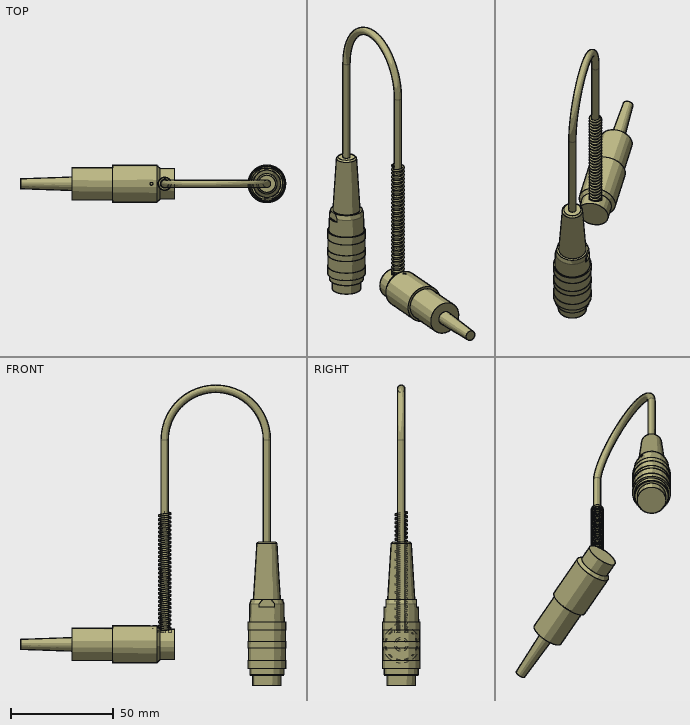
import cadquery as cq

tip_end_x = -70.3
tip_length = 25.0
sleeve_length = 20.0
housing_length = 23.2
cap_length = 7.0
tip_base_x = tip_end_x + tip_length
sleeve_end_x = tip_base_x + sleeve_length
housing_end_x = sleeve_end_x + housing_length
cap_end_x = housing_end_x + cap_length

tip_end_diameter = 5.0
tip_base_diameter = 6.8
sleeve_diameter = 15.9
housing_diameter = 18.2
cap_diameter = 15.0
housing_chamfer = (housing_diameter - cap_diameter) / 2

pilot_diameter = 1.5
pilot_depth = 1.5
pilot_x = -6.5

cable_diameter = 3.7
cable_span = 49.9
bend_radius = cable_span / 2
cable_seat_z = 5.9
bend_z = 99.92

wire_diameter = 1.0
spring_outer_diameter = 6.2
spring_pitch = 2.0
spring_turns = 29.025
spring_end_angle = 90
spring_start_z = cable_seat_z + wire_diameter / 2
spring_mean_radius = (spring_outer_diameter - wire_diameter) / 2
spring_seat_diameter = 6.5

connector_bottom_z = -20.1
step_bottom = 5.0
grip_bottom = 8.2
grip_top = 31.1
shell_edge = 40.0
shell_top = 42.1
band_spans = [(12.2, 18.4), (21.5, 27.2)]

nose_diameter = 14.0
step_diameter = 16.7
grip_diameter = 18.5
band_diameter = 18.2
step_chamfer = 0.3
shell_base_diameter = 17.2
shell_edge_diameter = 16.7
shell_top_diameter = 15.4

flat_spacing = 15.0
flat_bottom = 38.3

boot_length = 28.0
boot_base_diameter = 13.4
boot_top_diameter = 10.0
boot_face_diameter = 8.4
boot_chamfer = (boot_top_diameter - boot_face_diameter) / 2
boot_base_z = connector_bottom_z + shell_top
boot_top_z = boot_base_z + boot_length


def revolve_about_x(points):
    """Revolve (x, radius) points about the X axis."""
    return cq.Workplane("XZ").polyline(points).close().revolve(360, (0, 0, 0), (1, 0, 0))


def revolve_about_z(points):
    """Revolve (radius, z) points about the Z axis."""
    return cq.Workplane("YZ").polyline(points).close().revolve(360, (0, 0, 0), (0, 1, 0))


def vertical_cylinder(diameter, bottom_z, height):
    return cq.Workplane("XY").workplane(offset=bottom_z).circle(diameter / 2).extrude(height)


def make_tip():
    return revolve_about_x([
        (tip_end_x, 0),
        (tip_end_x, tip_end_diameter / 2),
        (tip_base_x, tip_base_diameter / 2),
        (tip_base_x, 0),
    ])


def make_probe():
    sleeve_radius = sleeve_diameter / 2
    housing_radius = housing_diameter / 2
    cap_radius = cap_diameter / 2
    chamfer_start_x = housing_end_x - housing_chamfer
    outline = (
        cq.Workplane("XZ")
        .moveTo(tip_base_x, 0)
        .lineTo(tip_base_x, sleeve_radius)
        .lineTo(sleeve_end_x, sleeve_radius)
        .lineTo(sleeve_end_x, housing_radius)
        .lineTo(chamfer_start_x, housing_radius)
        .lineTo(housing_end_x, cap_radius)
        .lineTo(cap_end_x, cap_radius)
        .lineTo(cap_end_x, 0)
        .close()
    )
    probe = outline.revolve(360, (0, 0, 0), (1, 0, 0))
    spring_seat = vertical_cylinder(spring_seat_diameter, cable_seat_z, housing_diameter)
    pilot_hole = vertical_cylinder(pilot_diameter, housing_radius - pilot_depth, housing_diameter)
    return probe.cut(spring_seat).cut(pilot_hole.translate((pilot_x, 0, 0)))


def make_cable():
    path = (
        cq.Workplane("XZ")
        .moveTo(0, cable_seat_z)
        .lineTo(0, bend_z)
        .threePointArc((bend_radius, bend_z + bend_radius), (cable_span, bend_z))
        .lineTo(cable_span, boot_top_z)
    )
    profile = cq.Workplane("XY").workplane(offset=cable_seat_z).circle(cable_diameter / 2)
    return profile.sweep(path)


def make_spring():
    height = spring_pitch * spring_turns
    helix = cq.Wire.makeHelix(spring_pitch, height, spring_mean_radius)
    wire = cq.Workplane("XZ").center(spring_mean_radius, 0).circle(wire_diameter / 2)
    coil = wire.sweep(cq.Workplane(helix), isFrenet=True)
    coil = coil.rotate((0, 0, 0), (0, 0, 1), spring_end_angle - 360 * spring_turns)
    return coil.translate((0, 0, spring_start_z))


def grip_outline():
    """(radius, z) points up the grip, with a shallow recess for each band."""
    points = [(grip_diameter / 2, grip_bottom)]
    for bottom, top in band_spans:
        points += [
            (grip_diameter / 2, bottom),
            (band_diameter / 2, bottom),
            (band_diameter / 2, top),
            (grip_diameter / 2, top),
        ]
    points.append((grip_diameter / 2, grip_top))
    return points


def cut_wrench_flats(body):
    block_depth = grip_diameter / 2
    block_height = shell_top - flat_bottom
    block = cq.Workplane("XY").box(
        grip_diameter, block_depth, block_height, centered=(True, True, False)
    )
    block_y = (flat_spacing + block_depth) / 2
    for side in (-1, 1):
        body = body.cut(block.translate((0, side * block_y, flat_bottom)))
    return body


def make_connector():
    body = revolve_about_z([
        (0, 0),
        (nose_diameter / 2, 0),
        (nose_diameter / 2, step_bottom),
        (step_diameter / 2 - step_chamfer, step_bottom),
        (step_diameter / 2, step_bottom + step_chamfer),
        (step_diameter / 2, grip_bottom),
        *grip_outline(),
        (shell_base_diameter / 2, grip_top),
        (shell_edge_diameter / 2, shell_edge),
        (shell_top_diameter / 2, shell_top),
        (0, shell_top),
    ])
    return cut_wrench_flats(body).translate((cable_span, 0, connector_bottom_z))


def make_boot():
    boot = revolve_about_z([
        (0, boot_base_z),
        (boot_base_diameter / 2, boot_base_z),
        (boot_top_diameter / 2, boot_top_z - boot_chamfer),
        (boot_face_diameter / 2, boot_top_z),
        (0, boot_top_z),
    ])
    return boot.translate((cable_span, 0, 0))


tip = make_tip()
probe = make_probe()
cable = make_cable()
spring = make_spring()
connector = make_connector()
boot = make_boot()

result = cq.Compound.makeCompound([
    tip.val(),
    probe.val(),
    cable.val(),
    spring.val(),
    connector.val(),
    boot.val(),
])